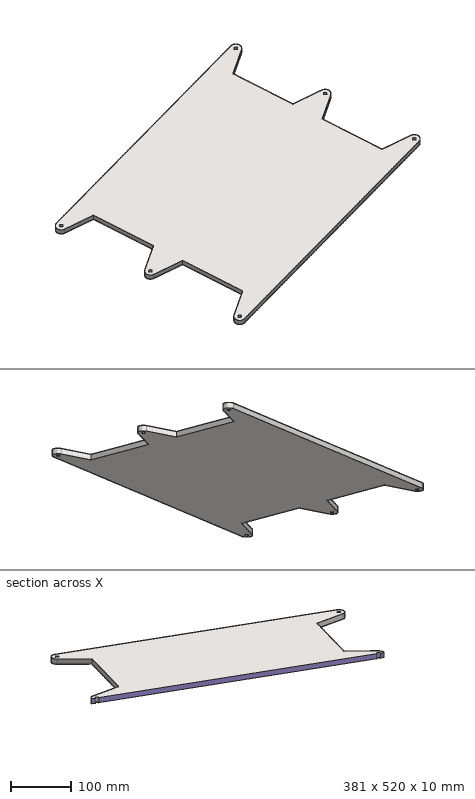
import cadquery as cq
import math

length = 520.0
width = 381.0
thickness = 10.0
body_length = 400.0

tip_radius = 10.0
tab_base_half_width = 29.5
hole_diameter = 5.5

tip_x = width / 2 - tip_radius
tip_y = length / 2 - tip_radius
tab_positions = (-tip_x, 0, tip_x)
body_edge_y = body_length / 2

tip_height = tip_y - body_edge_y
base_to_tip = math.hypot(tab_base_half_width, tip_height)
tangent_angle = math.atan2(-tip_height, tab_base_half_width) + math.acos(tip_radius / base_to_tip)
tangent_x = tip_radius * math.cos(tangent_angle)
tangent_y = tip_y + tip_radius * math.sin(tangent_angle)


def end_outline(outline, side):
    """Trace one end of the plate, from its side * X edge across to the other side."""
    edge_y = side * body_edge_y
    flank_y = side * tangent_y
    peak_y = side * length / 2
    first, middle, last = (side * x for x in reversed(tab_positions))
    base = side * tab_base_half_width
    flank = side * tangent_x
    return (
        outline.lineTo(side * width / 2, side * tip_y)
        .threePointArc((first, peak_y), (first - flank, flank_y))
        .lineTo(first - base, edge_y)
        .lineTo(middle + base, edge_y)
        .lineTo(middle + flank, flank_y)
        .threePointArc((middle, peak_y), (middle - flank, flank_y))
        .lineTo(middle - base, edge_y)
        .lineTo(last + base, edge_y)
        .lineTo(last + flank, flank_y)
        .threePointArc((last, peak_y), (-side * width / 2, side * tip_y))
    )


outline = cq.Workplane("XY").moveTo(width / 2, -tip_y)
for side in (1, -1):
    outline = end_outline(outline, side)
plate = outline.close().extrude(thickness)

hole_centres = [(x, y) for x in tab_positions for y in (-tip_y, tip_y)]
holes = cq.Workplane("XY").pushPoints(hole_centres).circle(hole_diameter / 2).extrude(thickness)

result = plate.cut(holes).translate((0, 0, -thickness / 2))